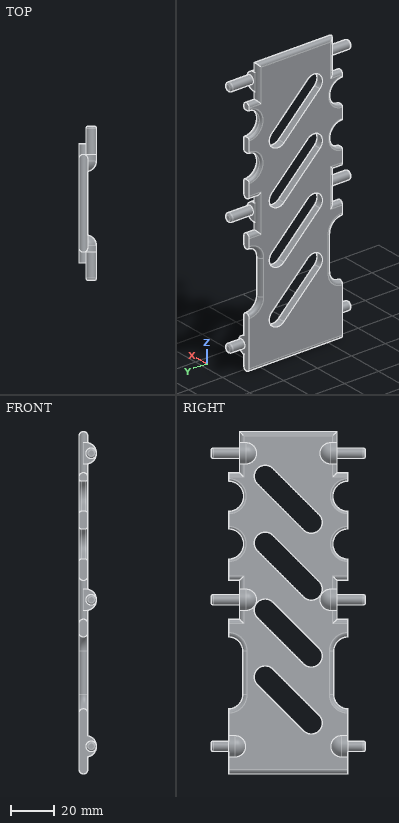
import cadquery as cq
import math

plate_thickness = 4.1
plate_height = 157.7
half_width = 27.5
narrow_half_width = 22.5
edge_radius = plate_thickness / 2

boss_face_ys = [half_width, narrow_half_width, narrow_half_width]
pin_diameter = 4.9
pin_tip_round = 1.0
pin_span = 71.0
overall_depth = 8.1
first_pin_z = 12.77
pin_pitch = 67.45
pin_zs = [first_pin_z + i * pin_pitch for i in range(len(boss_face_ys))]
pin_x = overall_depth - pin_diameter / 2
boss_radius = 5.0
boss_straight = 3.0
boss_axis_x = overall_depth - boss_radius
boss_root_x = plate_thickness / 2

pin_clearance = 8.9
middle_low_z = pin_zs[1] - pin_clearance
middle_high_z = pin_zs[1] + pin_clearance
top_low_z = pin_zs[2] - pin_clearance
column_low_z = middle_low_z - plate_thickness / 2

waist_center_z = 46.6
waist_length = 33.0
waist_radius = 6.5
waist_low_z = waist_center_z - waist_length / 2
waist_high_z = waist_center_z + waist_length / 2

notch_radius = 6.9
notch_round = 1.2
notch_zs = [105.9, 127.9]
radius_tolerance = 0.01

slot_count = 4
slot_width = 10.0
slot_center_distance = 30.0
slot_angle = 45.0
first_slot_z = 34.1
slot_pitch = 30.8


def round_topped_slab(half_y, low_z, high_z):
    """Slab with full-round bottom and top edges and flat sides."""
    return (
        cq.Workplane("XZ", origin=(edge_radius, half_y, 0))
        .moveTo(-edge_radius, low_z + edge_radius)
        .threePointArc((0, low_z), (edge_radius, low_z + edge_radius))
        .lineTo(edge_radius, high_z - edge_radius)
        .threePointArc((0, high_z), (-edge_radius, high_z - edge_radius))
        .close()
        .extrude(2 * half_y)
    )


def make_column():
    """Narrow upper part of the plate, full-round on its long sides and its top."""
    straight_y = narrow_half_width - edge_radius
    round_sided = (
        cq.Workplane("XY", origin=(edge_radius, 0, column_low_z))
        .moveTo(-edge_radius, -straight_y)
        .threePointArc((0, -narrow_half_width), (edge_radius, -straight_y))
        .lineTo(edge_radius, straight_y)
        .threePointArc((0, narrow_half_width), (-edge_radius, straight_y))
        .close()
        .extrude(plate_height - column_low_z)
    )
    return round_sided.intersect(round_topped_slab(half_width, 0, plate_height))


def waist_path(side):
    """Center line of the rounded waist rim: a straight run joined to the side by quarter circles."""
    path_radius = waist_radius + edge_radius
    bend = path_radius * math.sqrt(0.5)
    edge_y = side * half_width
    floor_y = side * (half_width - path_radius)
    bend_y = side * (half_width - bend)
    lower_center_z = waist_low_z + waist_radius
    upper_center_z = waist_high_z - waist_radius
    return (
        cq.Workplane("YZ", origin=(edge_radius, 0, 0))
        .moveTo(edge_y, lower_center_z - path_radius)
        .threePointArc((bend_y, lower_center_z - bend), (floor_y, lower_center_z))
        .lineTo(floor_y, upper_center_z)
        .threePointArc((bend_y, upper_center_z + bend), (edge_y, upper_center_z + path_radius))
    )


def cut_waist(plate, side):
    """Waist on one side of the plate, with a full-round rim."""
    opening = waist_path(side).close().extrude(edge_radius, both=True)
    rim_start_z = waist_low_z - edge_radius
    rim = (
        cq.Workplane("XZ", origin=(edge_radius, side * half_width, rim_start_z))
        .circle(edge_radius)
        .sweep(waist_path(side))
    )
    return plate.cut(opening).union(rim)


def make_plate():
    """Stepped and waisted plate, full-round along every edge except its widest sides."""
    upper_block = round_topped_slab(half_width, middle_high_z, top_low_z)
    lower_block = round_topped_slab(half_width, 0, middle_low_z)
    for side in (-1, 1):
        lower_block = cut_waist(lower_block, side)
    return lower_block.union(upper_block).union(make_column())


def cut_notches(plate):
    """Semicircular side notches with rounded rims."""
    centers = [(side * half_width, z) for side in (-1, 1) for z in notch_zs]
    cutter = cq.Workplane("YZ").pushPoints(centers).circle(notch_radius).extrude(plate_thickness)
    plate = plate.cut(cutter)
    rims = plate.faces("<X or >X").edges("%CIRCLE").filter(
        lambda edge: abs(edge.radius() - notch_radius) < radius_tolerance
    )
    return rims.fillet(notch_round)


def slot_cutter():
    """Row of diagonal slots up the middle of the plate."""
    centers = [(0, first_slot_z + i * slot_pitch) for i in range(slot_count)]
    return (
        cq.Workplane("YZ")
        .pushPoints(centers)
        .slot2D(slot_center_distance + slot_width, slot_width, -slot_angle)
        .extrude(plate_thickness)
    )


def make_boss_and_pin(z, face_y):
    """Boss on the +Y side, ending inward in a dome, with its pin pointing outward."""
    dome_y = face_y - boss_straight
    straight = (
        cq.Workplane("XZ", origin=(0, face_y, z))
        .moveTo(boss_root_x, -boss_radius)
        .lineTo(boss_axis_x, -boss_radius)
        .threePointArc((overall_depth, 0), (boss_axis_x, boss_radius))
        .lineTo(boss_root_x, boss_radius)
        .close()
        .extrude(boss_straight)
    )
    dome_bend = boss_radius * math.sqrt(0.5)
    dome = (
        cq.Workplane("YZ", origin=(boss_axis_x, dome_y, z))
        .lineTo(0, boss_radius)
        .threePointArc((-dome_bend, dome_bend), (-boss_radius, 0))
        .close()
        .revolve(180, (0, 0, 0), (1, 0, 0))
    )
    pin_tip_y = pin_span / 2
    pin = (
        cq.Workplane("XZ", origin=(pin_x, pin_tip_y, z))
        .circle(pin_diameter / 2)
        .extrude(pin_tip_y - face_y)
        .faces(">Y")
        .edges()
        .fillet(pin_tip_round)
    )
    return straight, dome, pin


result = cut_notches(make_plate()).cut(slot_cutter())
for pin_z, boss_face_y in zip(pin_zs, boss_face_ys):
    for piece in make_boss_and_pin(pin_z, boss_face_y):
        result = result.union(piece).union(piece.mirror("XZ"))